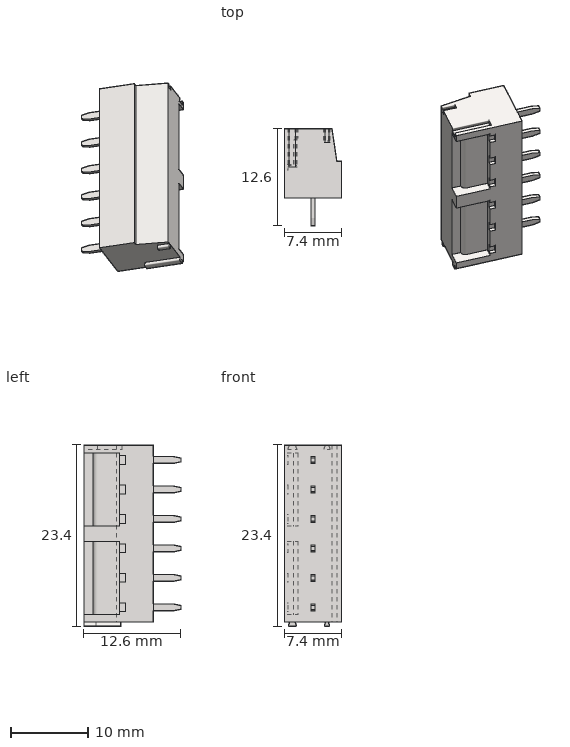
import cadquery as cq

pole_count = 6
poles_per_recess = 3
total_height = 23.4
rail_height = 0.55
body_height = total_height - rail_height
pitch = body_height / pole_count
body_width = 7.4
total_length = 12.6
pin_length = 3.6
body_length = total_length - pin_length

relief_length = 4.21
relief_step = 0.6
mating_face_width = 6.15

pin_thickness = 0.55
pin_height = 0.91
pin_tip_height = 0.5
pin_taper_length = 1.0

recess_margin = 1.0
recess_length = 4.64
recess_depth = 1.15
step_radius = 0.6
deep_recess_length = 1.2

window_length = 0.75
window_height = 1.12
window_depth = 0.5

groove_depth = 0.55
rail_edge_radius = 0.12
groove_lip_radius = 0.1
dovetail_draft = 0.2
groove_clearance = 0.02
large_dovetail_x = 1.03
large_dovetail_width = 1.15
large_rail_length = 4.8
large_groove_length = 4.96
small_dovetail_x = 5.5
small_dovetail_width = 0.8
small_rail_length = 1.6
small_groove_length = 1.78


def pole_z(pole):
    return (pole + 0.5) * pitch


def make_body():
    return (
        cq.Workplane("XY")
        .polyline([
            (0, 0),
            (body_width, 0),
            (body_width, body_length - relief_length),
            (body_width - relief_step, body_length - relief_length),
            (mating_face_width, body_length),
            (0, body_length),
        ])
        .close()
        .extrude(body_height)
    )


def make_pin(z):
    """Flat pin along -Y whose end tapers in Z; its foot starts at the body face."""
    half = pin_height / 2
    half_tip = pin_tip_height / 2
    taper_start = pin_taper_length - pin_length
    return (
        cq.Workplane("YZ", origin=((body_width - pin_thickness) / 2, 0, z))
        .polyline([
            (0, -half),
            (0, half),
            (taper_start, half),
            (-pin_length, half_tip),
            (-pin_length, -half_tip),
            (taper_start, -half),
        ])
        .close()
        .extrude(pin_thickness)
    )


def make_recess(z_bottom, height):
    """Recess that gets deeper over a rounded step towards the mating face."""
    front = body_length - recess_length
    step_end = body_length - deep_recess_length
    return (
        cq.Workplane("XY", origin=(0, 0, z_bottom))
        .moveTo(0, front)
        .lineTo(recess_depth, front)
        .lineTo(recess_depth, step_end - step_radius)
        .radiusArc((recess_depth + step_radius, step_end), step_radius)
        .lineTo(recess_depth + step_radius, body_length)
        .lineTo(0, body_length)
        .close()
        .extrude(height)
    )


def make_window(z):
    front = body_length - recess_length - window_length
    return cq.Workplane("XY").box(
        window_depth, window_length, window_height, centered=(False, False, True)
    ).translate((0, front, z))


def dovetail(x, z_mouth, mouth_width, base_width, height, length):
    """Dovetail prism below z_mouth, running back from the mating face."""
    return (
        cq.Workplane("XZ", origin=(x, body_length, z_mouth))
        .polyline([
            (-mouth_width / 2, 0),
            (mouth_width / 2, 0),
            (base_width / 2, -height),
            (-base_width / 2, -height),
        ])
        .close()
        .extrude(length)
    )


def add_dovetail_pair(part, x, width, rail_length, groove_length):
    mouth_width = width - 2 * dovetail_draft
    rail = dovetail(x, 0, mouth_width, width, rail_height, rail_length)
    rail = rail.faces("<Z").edges("|Y").fillet(rail_edge_radius)
    groove = dovetail(
        x,
        body_height,
        mouth_width + 2 * groove_clearance,
        width + 2 * groove_clearance,
        groove_depth,
        groove_length,
    )
    part = part.union(rail).cut(groove)
    lip_edges = cq.selectors.BoxSelector(
        (x - width / 2, body_length - groove_length, body_height - rail_edge_radius),
        (x + width / 2, body_length, body_height + rail_edge_radius),
    )
    return part.edges("|Y").edges(lip_edges).fillet(groove_lip_radius)


result = make_body()

recess_pitch = poles_per_recess * pitch
for index in range(pole_count // poles_per_recess):
    recess_bottom = index * recess_pitch + recess_margin
    result = result.cut(make_recess(recess_bottom, recess_pitch - 2 * recess_margin))

for pole in range(pole_count):
    result = result.cut(make_window(pole_z(pole)))
    result = result.union(make_pin(pole_z(pole)))

result = add_dovetail_pair(
    result, large_dovetail_x, large_dovetail_width, large_rail_length, large_groove_length
)
result = add_dovetail_pair(
    result, small_dovetail_x, small_dovetail_width, small_rail_length, small_groove_length
)